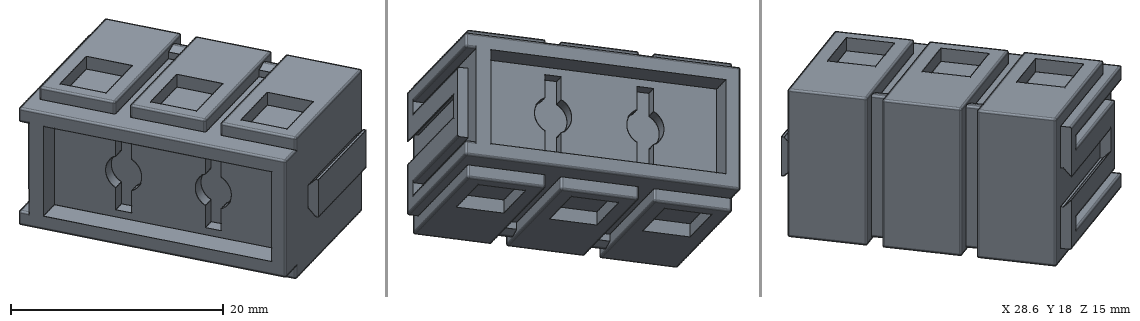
import cadquery as cq

length = 28.55
depth = 18.0
height = 15.0
edge_radius = 0.2

key_count = 3
key_width = 7.8
key_pitch = 9.3
key_length = 15.55
row_width = key_width + (key_count - 1) * key_pitch
side_depth = (length - row_width) / 2
key_front = depth - key_length

window_width = 4.75
window_length = 6.2
window_front = 3.8
window_depth = 1.35

body_height = 12.4
body_depth = 16.47
body_right = length - side_depth

recess_height = 9.42
recess_back = 15.0
bar_height = 7.02
bar_front = 2.28

dovetail_root = 2.35
dovetail_tip = 3.95
dovetail_flare = (dovetail_tip - dovetail_root) / 2
socket_front = 3.48
tongue_front = 5.2

pocket_width = 23.47
pocket_height = 9.5
pocket_depth = 2.6
keyhole_count = 2
keyhole_pitch = 9.22
keyhole_radius = 1.85
keyhole_slot_width = 1.63
keyhole_slot_height = 8.0
keyhole_depth = 1.35

bridge_height = 14.4
bridge_edge_height = 13.82
bridge_ridge = 16.0
bridge_front = 14.95


def block(x_min, x_max, y_min, y_max, size_z):
    """Box between the given X and Y limits, centred on Z = 0."""
    return (
        cq.Workplane("XY")
        .box(x_max - x_min, y_max - y_min, size_z, centered=(False, False, True))
        .translate((x_min, y_min, 0))
    )


def spread(count, pitch):
    """X positions of evenly spaced features centred along the length."""
    return [length / 2 + (i - (count - 1) / 2) * pitch for i in range(count)]


def make_body():
    """Housing with the U-shaped side recess and rounded outer edges."""
    body = block(0, body_right, 0, body_depth, body_height)
    recess = block(0, side_depth, 0, recess_back, recess_height)
    bar = block(0, side_depth, bar_front, recess_back, bar_height)
    body = body.cut(recess.cut(bar))
    left_edges = body.faces("<X").edges("|Y or (|Z and <Y)")
    right_edges = body.faces(">X").edges("not >Y")
    front_edges = body.faces("<Y").edges("|X")
    return left_edges.add(right_edges).add(front_edges).fillet(edge_radius)


def make_key(x_center):
    """Key rounded along every edge."""
    key = block(x_center - key_width / 2, x_center + key_width / 2, key_front, depth, height)
    return key.edges().fillet(edge_radius)


def make_windows(x_center):
    """Window cutters for the top and bottom of one key."""
    upper = (
        cq.Workplane("XY")
        .box(window_width, window_length, window_depth, centered=(True, False, False))
        .translate((x_center, window_front, height / 2 - window_depth))
    )
    return upper.union(upper.mirror("XY"))


def make_bridge():
    """Bar with sloping front flanks, spanning all the keys at the rear."""
    bridge = (
        cq.Workplane("YZ")
        .moveTo(bridge_front, -bridge_edge_height / 2)
        .lineTo(bridge_ridge, -bridge_height / 2)
        .lineTo(body_depth, -bridge_height / 2)
        .lineTo(body_depth, bridge_height / 2)
        .lineTo(bridge_ridge, bridge_height / 2)
        .lineTo(bridge_front, bridge_edge_height / 2)
        .close()
        .extrude(row_width - key_width)
        .translate((side_depth + key_width / 2, 0, 0))
    )
    return bridge.faces(">Y").edges("|X").fillet(edge_radius)


def make_dovetail(x_root, y_front):
    """Dovetail widening towards +X at 45 degrees, open at the rear of the housing."""
    x_flared = x_root + dovetail_flare
    x_tip = x_root + side_depth
    return (
        cq.Workplane("XZ", origin=(0, body_depth, 0))
        .moveTo(x_root, -dovetail_root / 2)
        .lineTo(x_flared, -dovetail_tip / 2)
        .lineTo(x_tip, -dovetail_tip / 2)
        .lineTo(x_tip, dovetail_tip / 2)
        .lineTo(x_flared, dovetail_tip / 2)
        .lineTo(x_root, dovetail_root / 2)
        .close()
        .extrude(body_depth - y_front)
    )


def make_keyhole(x_center):
    """Round hole crossed by an upright slot, sunk into the pocket floor."""
    plane = cq.Workplane("XZ", origin=(x_center, pocket_depth + keyhole_depth, 0))
    hole = plane.circle(keyhole_radius).extrude(keyhole_depth)
    slot = plane.rect(keyhole_slot_width, keyhole_slot_height).extrude(keyhole_depth)
    return hole.union(slot)


pocket_left = (length - pocket_width) / 2
pocket = block(pocket_left, pocket_left + pocket_width, 0, pocket_depth, pocket_height)

result = make_body().union(make_bridge())
for x in spread(key_count, key_pitch):
    result = result.union(make_key(x))
for x in spread(key_count, key_pitch):
    result = result.cut(make_windows(x))

result = result.union(make_dovetail(body_right, tongue_front))
result = result.cut(make_dovetail(0, socket_front))
result = result.cut(pocket)
for x in spread(keyhole_count, keyhole_pitch):
    result = result.cut(make_keyhole(x))